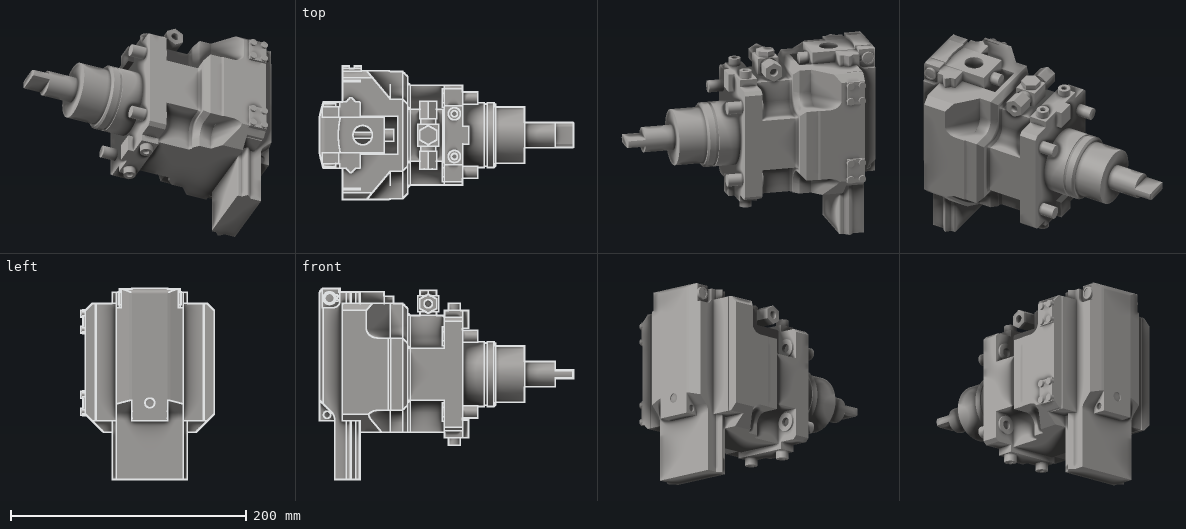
import cadquery as cq
import math


HOUSING_X = (19.5, 70.6)
HOUSING_HALF_Y = 54.9
HOUSING_STEP_X = 58.5
HOUSING_STEP = 0.6
HOUSING_TOP = 60.3
HOUSING_BOTTOM = -49.5
END_TAPER = 4.5
TOP_EDGE_CHAMFER = 6.0
BOTTOM_EDGE_CHAMFER = 15.5
HOUSING_ARM = 30.7
POCKET_START_X = 40.0
POCKET_CORNER_X = 60.3
POCKET_RADIUS = 10.0
POCKET_START_RADIUS = 7.8
FOOT_NOTCH_TOP = -39.8
SLIT_Y = 45.8
SLIT_WIDTH = 0.9
SLIT_COVER = 0.6

BODY_X = (77.1, 106.3)
BODY_HALF_Y = 42.5
BODY_HALF_Z = 50.0
BODY_ARM = 22.0
BODY_TAPER = BODY_X[0] - HOUSING_X[1] - END_TAPER
BODY_END_CHAMFER = 1.3
FLANGE_X = (BODY_X[1], 121.6)
FLANGE_HALF_Z = 48.2
FLANGE_CHAMFER = 3.0
CLAMP_HALF_Y = 25.0
CLAMP_HALF_Z = 54.2
KEY_X = 126.8
KEY_HALF_Y = 7.5
KEY_INNER_Z = 38.9
CLAMP_SCREW_X = 114.7
CLAMP_SCREW_Y = 18.1
CLAMP_SCREW_RADIUS = 5.2
CLAMP_SCREW_Z = 60.5
SOCKET_RADIUS = 2.5
SOCKET_DEPTH = 3.2
BOLT_Y = 31.5
BOLT_Z = 32.2
BOLT_RADIUS = 5.2
BOLT_END_X = 134.5
BOLT_HEAD_RADIUS = 8.0
BOLT_HEAD_HEIGHT = 1.7
BOLT_SOCKET_RADIUS = 3.9

SHANK_RADIUS = 27.7
SHANK_END_X = 149.7
SHANK_CHAMFER = 1.5
RING_GROOVE_X = (140.2, 142.5)
RING_GROOVE_DEPTH = 1.0
PILOT_RADIUS = 24.0
PILOT_END_X = 174.4
SHAFT_RADIUS = 10.8
SHAFT_END_X = 200.5
TANG_HALF_Z = 3.9
TANG_FLAT_HALF_Y = 7.3
TANG_EDGE_HALF_Z = 2.8
TANG_END_X = 216.0
TANG_CHAMFER = 0.6

FITTING_X = 92.5
FITTING_Z = 59.8
FITTING_SIZE = (18.1, 18.5, 13.8)
FITTING_TOP = 71.5
HEX_FLATS = 14.3
NECK_RADIUS = 7.1
SIDE_NECK_RADIUS = 6.5
SIDE_HEX_Y = (13.8, 29.0)
FITTING_BORE_RADIUS = 3.5
FITTING_BORE_DEPTH = 6.5

SLIDE_X = (13.0, 34.5)
SLIDE_HALF_Y = 28.3
SLIDE_RIDGE_Y = 32.0
SLIDE_RIDGE_X = (22.7, 26.1, 27.2, 30.7)
SLIDE_TOP = 69.8
NUT_TOP = 70.2
SLIDE_BACK_CHAMFER = 0.6
SLIDE_BOTTOM = -89.7
NUT_END_X = 55.0
NUT_HALF_Y = 15.1
NUT_HOLE_X = 36.7
NUT_HOLE_RADIUS = 8.2
NUT_HOLE_DEPTH = 17.3
ROD_RADIUS = 2.5
NUT_RECESS_END_X = 66.8
NUT_RECESS_HALF_Y = 16.2
NUT_RECESS_RADIUS = 7.8
NUT_RECESS_BOTTOM = 43.2
NUT_PIN_RADIUS = 5.2
NUT_PIN_END_X = 63.0
NUT_PIN_Z = 61.1
COVER_TOP = 73.2
COVER_BACK_X = 16.5
COVER_RIB_BACK_X = 17.7
COVER_RIB_HOLLOW_X = 16.0
WING_TOP = 72.5
COVER_FLANK_X = 3.2
COVER_CREASE = (0.5, 17.7)
COVER_BOTTOM = FOOT_NOTCH_TOP
COVER_TOP_RADIUS = 5.0
WING_RUNOUT_Z = -22.0
WING_RUNOUT_RADIUS = 9.0
RIB_HOLE_X = 6.5
RIB_HOLE_Z = -34.5
RIB_HOLE_RADIUS = 3.0
RIB_HOLE_DEPTH = 2.2
COVER_HOLE_Z = -24.5
COVER_HOLE_RADIUS = 4.0
COVER_HOLE_DEPTH = 1.0
SEAT_Y = 24.2
SEAT_START_X = 2.5
SEAT_END_X = 17.3
SEAT_BOTTOM = 56.5
SEAT_RADIUS = 5.5
SEAT_SCREW_X = 8.6
SEAT_SCREW_Z = 64.5
SEAT_SCREW_RADIUS = 5.5
SEAT_SCREW_Y = 26.8
SEAT_SOCKET_RADIUS = 4.0
SEAT_SOCKET_DEPTH = 0.9
SEAT_DIMPLE_X = 15.0
SEAT_DIMPLE_RADIUS = 1.0
SEAT_DIMPLE_OFFSET = 1.7

STRAP_X = (19.9, 35.5)
STRAP_SCREW_X = (22.5, 32.6)
STRAP_SCREW_PAIRS = ((51.5, 37.8), (-17.5, -32.0))
STRAP_SCREW_RADIUS = 3.0
STRAP_SCREW_END_Y = 58.8
STRAP_THICKNESS = 2.0
STRAP_END_MARGIN = 3.2

SIDES = (1, -1)
CORNERS = [(y_side, z_side) for y_side in SIDES for z_side in SIDES]
CLEAR = 129.6


def span_box(x_range, y_range, z_range):
    """Box given by its end places along each axis."""
    sizes = [max(r) - min(r) for r in (x_range, y_range, z_range)]
    low_corner = (min(x_range), min(y_range), min(z_range))
    return cq.Workplane("XY").box(*sizes, centered=False).translate(low_corner)


def rod(start, end, radius):
    """Solid cylinder between two points."""
    axis = cq.Vector(*end) - cq.Vector(*start)
    return cq.Workplane(cq.Solid.makeCylinder(radius, axis.Length, cq.Vector(*start), axis))


def flat_bottom(solid):
    """Cut everything off below the flat underside of the housing."""
    return solid.cut(span_box((0, CLEAR), (-CLEAR, CLEAR), (-CLEAR, HOUSING_BOTTOM)))


def cross_section(x, half_y, half_z, arm):
    """Rectangle with a rounded notch taken out of each corner."""
    upright = cq.Sketch().rect(2 * arm, 2 * half_z)
    cross = upright.rect(2 * half_y, 2 * arm).clean()
    reach = (arm + min(half_y, half_z)) / 2
    inner_corners = cq.selectors.BoxSelector((-reach, -reach, -2.2), (reach, reach, 2.2))
    cross = cross.vertices(inner_corners).fillet(POCKET_RADIUS)
    return cq.Workplane("YZ", origin=(x, 0, 0)).placeSketch(cross.reset())


def corner_pocket(y_side, z_side):
    """Cutter for one housing corner: slanted start, then along the axis, round at the bottom."""
    lead = POCKET_CORNER_X - POCKET_START_X
    slope = lead / (HOUSING_HALF_Y - HOUSING_ARM)
    far_y = HOUSING_HALF_Y + 21.5
    far_x = HOUSING_X[1] + 21.5
    base = cq.Workplane("XY", origin=(0, 0, HOUSING_ARM))
    start_x = POCKET_CORNER_X - slope * (far_y - HOUSING_ARM)
    slanted = (
        base.polyline([
            (start_x, far_y),
            (start_x + slope * far_y, 0),
            (far_x, 0),
            (far_x, far_y),
        ])
        .close()
        .extrude(CLEAR)
        .edges(cq.selectors.NearestToPointSelector((POCKET_START_X, HOUSING_HALF_Y, HOUSING_ARM)))
        .fillet(POCKET_START_RADIUS)
        .intersect(span_box((0, POCKET_CORNER_X), (HOUSING_ARM, CLEAR), (0, CLEAR)))
    )
    axial = span_box((start_x, far_x), (HOUSING_ARM, far_y), (HOUSING_ARM, CLEAR))
    axial = axial.edges("|X and <Y and <Z").fillet(POCKET_RADIUS)
    axial = axial.intersect(span_box((POCKET_CORNER_X, HOUSING_X[1]), (0, CLEAR), (0, CLEAR)))
    cutter = slanted.union(axial)
    if y_side < 0:
        cutter = cutter.mirror("XZ")
    if z_side < 0:
        cutter = cutter.mirror("XY")
    return cutter


def make_housing():
    start, end = HOUSING_X
    rear_half_y = HOUSING_HALF_Y - HOUSING_STEP
    block = (
        cq.Workplane("XY", origin=(0, 0, HOUSING_BOTTOM))
        .polyline([
            (start, HOUSING_HALF_Y),
            (HOUSING_STEP_X, HOUSING_HALF_Y),
            (HOUSING_STEP_X + 3 * HOUSING_STEP, rear_half_y),
            (end, rear_half_y),
            (end, -rear_half_y),
            (HOUSING_STEP_X + 3 * HOUSING_STEP, -rear_half_y),
            (HOUSING_STEP_X, -HOUSING_HALF_Y),
            (start, -HOUSING_HALF_Y),
        ])
        .close()
        .extrude(HOUSING_TOP - HOUSING_BOTTOM)
    )
    top_flat = HOUSING_HALF_Y - TOP_EDGE_CHAMFER
    bottom_flat = HOUSING_HALF_Y - BOTTOM_EDGE_CHAMFER
    end_outline = (
        cq.Workplane("YZ")
        .polyline([
            (top_flat, HOUSING_TOP),
            (HOUSING_HALF_Y, HOUSING_TOP - TOP_EDGE_CHAMFER),
            (HOUSING_HALF_Y, HOUSING_BOTTOM + BOTTOM_EDGE_CHAMFER),
            (bottom_flat, HOUSING_BOTTOM),
            (-bottom_flat, HOUSING_BOTTOM),
            (-HOUSING_HALF_Y, HOUSING_BOTTOM + BOTTOM_EDGE_CHAMFER),
            (-HOUSING_HALF_Y, HOUSING_TOP - TOP_EDGE_CHAMFER),
            (-top_flat, HOUSING_TOP),
        ])
        .close()
        .extrude(end)
    )
    housing = block.intersect(end_outline)
    for y_side, z_side in CORNERS:
        housing = housing.cut(corner_pocket(y_side, z_side))

    taper = cross_section(end, rear_half_y, HOUSING_TOP, HOUSING_ARM).extrude(END_TAPER, taper=45)
    housing = housing.union(flat_bottom(taper))

    plate_x = (start, SLIDE_X[1])
    housing = housing.cut(span_box(plate_x, (-CLEAR, CLEAR), (-CLEAR, FOOT_NOTCH_TOP)))
    for side in SIDES:
        slit_y = (side * SLIT_Y - SLIT_WIDTH / 2, side * SLIT_Y + SLIT_WIDTH / 2)
        slit_top = HOUSING_TOP if side > 0 else HOUSING_TOP - SLIT_COVER
        housing = housing.cut(span_box(plate_x, slit_y, (-CLEAR, slit_top)))
    recess = span_box(
        (SLIDE_X[1], NUT_RECESS_END_X),
        (-NUT_RECESS_HALF_Y, NUT_RECESS_HALF_Y),
        (NUT_RECESS_BOTTOM, HOUSING_TOP),
    )
    return housing.cut(recess.edges("|X and <Z").fillet(NUT_RECESS_RADIUS))


def make_body():
    start, end = BODY_X
    body = cross_section(start, BODY_HALF_Y, BODY_HALF_Z, BODY_ARM).extrude(end - start)
    body = body.faces(">X").edges(">Z").chamfer(BODY_END_CHAMFER)
    step = cross_section(start, BODY_HALF_Y, BODY_HALF_Z, BODY_ARM).extrude(-BODY_TAPER, taper=-45)
    return flat_bottom(body.union(step))


def make_flange():
    flange = span_box(FLANGE_X, (-BODY_HALF_Y, BODY_HALF_Y), (-FLANGE_HALF_Z, FLANGE_HALF_Z))
    flange = flange.edges("|X").chamfer(FLANGE_CHAMFER)
    flange = flange.union(span_box(
        FLANGE_X, (-CLAMP_HALF_Y, CLAMP_HALF_Y), (-CLAMP_HALF_Z, CLAMP_HALF_Z)
    ))
    for z_side in SIDES:
        key_z = (z_side * KEY_INNER_Z, z_side * CLAMP_HALF_Z)
        flange = flange.union(span_box((FLANGE_X[0], KEY_X), (-KEY_HALF_Y, KEY_HALF_Y), key_z))

    for y_side, z_side in CORNERS:
        y = y_side * CLAMP_SCREW_Y
        base = (CLAMP_SCREW_X, y, z_side * FLANGE_HALF_Z)
        head_end = (CLAMP_SCREW_X, y, z_side * CLAMP_SCREW_Z)
        socket_floor = (CLAMP_SCREW_X, y, z_side * (CLAMP_SCREW_Z - SOCKET_DEPTH))
        flange = flange.union(rod(base, head_end, CLAMP_SCREW_RADIUS))
        flange = flange.cut(rod(socket_floor, head_end, SOCKET_RADIUS))

        y, z = y_side * BOLT_Y, z_side * BOLT_Z
        head_x = FLANGE_X[0] - BOLT_HEAD_HEIGHT
        flange = flange.union(rod((head_x, y, z), (FLANGE_X[0], y, z), BOLT_HEAD_RADIUS))
        flange = flange.union(rod((FLANGE_X[0], y, z), (BOLT_END_X, y, z), BOLT_RADIUS))
        flange = flange.cut(rod((head_x, y, z), (head_x + SOCKET_DEPTH, y, z), BOLT_SOCKET_RADIUS))
    return flange


def make_spindle():
    start = FLANGE_X[0]
    groove_start, groove_end = RING_GROOVE_X
    groove_radius = SHANK_RADIUS - RING_GROOVE_DEPTH
    spindle = (
        cq.Workplane("XZ")
        .polyline([
            (start, 0),
            (start, SHANK_RADIUS),
            (groove_start, SHANK_RADIUS),
            (groove_start, groove_radius),
            (groove_end, groove_radius),
            (groove_end, SHANK_RADIUS),
            (SHANK_END_X - SHANK_CHAMFER, SHANK_RADIUS),
            (SHANK_END_X, SHANK_RADIUS - SHANK_CHAMFER),
            (SHANK_END_X, PILOT_RADIUS),
            (PILOT_END_X, PILOT_RADIUS),
            (PILOT_END_X, SHAFT_RADIUS),
            (TANG_END_X - TANG_CHAMFER, SHAFT_RADIUS),
            (TANG_END_X, SHAFT_RADIUS - TANG_CHAMFER),
            (TANG_END_X, 0),
        ])
        .close()
        .revolve(360, (0, 0, 0), (1, 0, 0))
    )
    tang_corners = [
        (TANG_FLAT_HALF_Y, TANG_HALF_Z),
        (SHAFT_RADIUS, TANG_EDGE_HALF_Z),
        (SHAFT_RADIUS, -TANG_EDGE_HALF_Z),
        (TANG_FLAT_HALF_Y, -TANG_HALF_Z),
    ]
    tang_corners += [(-y, -z) for y, z in tang_corners]
    tang_length = TANG_END_X - SHAFT_END_X
    around_tang = cq.Workplane("YZ", origin=(SHAFT_END_X, 0, 0)).circle(2 * SHAFT_RADIUS).extrude(tang_length)
    tang = cq.Workplane("YZ", origin=(SHAFT_END_X, 0, 0)).polyline(tang_corners).close().extrude(tang_length)
    return spindle.cut(around_tang.cut(tang))


def make_fitting():
    hex_corners = HEX_FLATS / math.cos(math.pi / 6)
    centre = (FITTING_X, 0, FITTING_Z)
    fitting = cq.Workplane("XY").box(*FITTING_SIZE).translate(centre)
    fitting = fitting.union(rod((FITTING_X, 0, BODY_HALF_Z - 2.2), centre, NECK_RADIUS))
    cap = (
        cq.Workplane("XY", origin=centre)
        .polygon(6, hex_corners)
        .extrude(FITTING_TOP - FITTING_Z)
        .rotate(centre, (FITTING_X, 0, FITTING_TOP), 30)
    )
    fitting = fitting.union(cap)

    hex_start, hex_end = SIDE_HEX_Y
    for side in SIDES:
        outer = (FITTING_X, side * hex_end, FITTING_Z)
        bore_floor = (FITTING_X, side * (hex_end - FITTING_BORE_DEPTH), FITTING_Z)
        nut = (
            cq.Workplane("XZ", origin=(FITTING_X, side * hex_start, FITTING_Z))
            .polygon(6, hex_corners)
            .extrude(-side * (hex_end - hex_start))
            .rotate(centre, outer, 30)
        )
        fitting = fitting.union(rod(centre, outer, SIDE_NECK_RADIUS).intersect(
            span_box((0, CLEAR), (0, side * (hex_start + 2.2)), (0, CLEAR))
        ))
        fitting = fitting.union(nut).cut(rod(bore_floor, outer, FITTING_BORE_RADIUS))
    return fitting


def make_slide():
    start, end = SLIDE_X
    foot_in, tip_in, tip_out, foot_out = SLIDE_RIDGE_X
    upper_half = [
        (start, SLIDE_HALF_Y),
        (foot_in, SLIDE_HALF_Y),
        (tip_in, SLIDE_RIDGE_Y),
        (tip_out, SLIDE_RIDGE_Y),
        (foot_out, SLIDE_HALF_Y),
        (end - SLIDE_BACK_CHAMFER, SLIDE_HALF_Y),
        (end, SLIDE_HALF_Y - SLIDE_BACK_CHAMFER),
    ]
    lower_half = [(x, -y) for x, y in reversed(upper_half)]
    return (
        cq.Workplane("XY", origin=(0, 0, SLIDE_BOTTOM))
        .polyline(upper_half + lower_half)
        .close()
        .extrude(SLIDE_TOP - SLIDE_BOTTOM)
    )


def add_nut_block(part):
    """Block on the slide reaching into the housing, with its hole, rod and pin."""
    block = span_box(
        (SLIDE_X[0], NUT_END_X), (-NUT_HALF_Y, NUT_HALF_Y), (NUT_RECESS_BOTTOM, NUT_TOP)
    )
    hole = rod(
        (NUT_HOLE_X, 0, NUT_TOP - NUT_HOLE_DEPTH), (NUT_HOLE_X, 0, NUT_TOP), NUT_HOLE_RADIUS
    )
    cross_rod = rod((SLIDE_X[1] - 10.8, 0, NUT_PIN_Z), (NUT_END_X, 0, NUT_PIN_Z), ROD_RADIUS)
    pin = rod((NUT_END_X - 2.2, 0, NUT_PIN_Z), (NUT_PIN_END_X, 0, NUT_PIN_Z), NUT_PIN_RADIUS)
    return part.union(block).cut(hole).union(cross_rod).union(pin)


def make_cover():
    crease_x, crease_y = COVER_CREASE
    cover = (
        cq.Workplane("XY", origin=(0, 0, COVER_BOTTOM))
        .moveTo(0, -NUT_HALF_Y)
        .lineTo(0, NUT_HALF_Y)
        .lineTo(crease_x, crease_y)
        .lineTo(COVER_FLANK_X, SLIDE_HALF_Y)
        .lineTo(COVER_BACK_X, SLIDE_HALF_Y)
        .lineTo(COVER_BACK_X, NUT_HALF_Y)
        .lineTo(COVER_RIB_BACK_X, NUT_HALF_Y)
        .threePointArc((COVER_RIB_HOLLOW_X, 0), (COVER_RIB_BACK_X, -NUT_HALF_Y))
        .lineTo(COVER_BACK_X, -NUT_HALF_Y)
        .lineTo(COVER_BACK_X, -SLIDE_HALF_Y)
        .lineTo(COVER_FLANK_X, -SLIDE_HALF_Y)
        .lineTo(crease_x, -crease_y)
        .close()
        .extrude(COVER_TOP - COVER_BOTTOM)
    )
    side_outline = (
        cq.Workplane("XZ", origin=(0, CLEAR, 0))
        .moveTo(0, COVER_BOTTOM)
        .lineTo(0, COVER_TOP - COVER_TOP_RADIUS)
        .radiusArc((COVER_TOP_RADIUS, COVER_TOP), COVER_TOP_RADIUS)
        .lineTo(CLEAR, COVER_TOP)
        .lineTo(CLEAR, COVER_BOTTOM)
        .close()
        .extrude(2 * CLEAR)
    )
    cover = cover.intersect(side_outline)

    for side in SIDES:
        wing_y = side * NUT_HALF_Y
        cover = cover.cut(span_box((0, COVER_BACK_X), (wing_y, side * CLEAR), (WING_TOP, CLEAR)))
        runout = (
            cq.Workplane("XZ", origin=(0, wing_y, 0))
            .polyline([
                (0, WING_RUNOUT_Z),
                (SLIDE_X[0], WING_RUNOUT_Z - SLIDE_X[0]),
                (SLIDE_X[0], COVER_BOTTOM - WING_RUNOUT_RADIUS),
                (0, COVER_BOTTOM - WING_RUNOUT_RADIUS),
            ])
            .close()
            .extrude(-side * CLEAR)
            .edges("|Y").edges(">X").edges(">Z")
            .fillet(WING_RUNOUT_RADIUS)
        )
        cover = cover.cut(runout)
        hole_floor = (RIB_HOLE_X, side * (NUT_HALF_Y - RIB_HOLE_DEPTH), RIB_HOLE_Z)
        cover = cover.cut(rod(hole_floor, (RIB_HOLE_X, wing_y, RIB_HOLE_Z), RIB_HOLE_RADIUS))

    hole_end = (COVER_HOLE_DEPTH, 0, COVER_HOLE_Z)
    return cover.cut(rod((0, 0, COVER_HOLE_Z), hole_end, COVER_HOLE_RADIUS))


def add_screw_seat(part, side):
    """Recess in an upper corner of the cover and slide with a socket screw in it."""
    seat = span_box(
        (SEAT_START_X, SEAT_END_X), (side * SEAT_Y, side * CLEAR), (SEAT_BOTTOM, CLEAR)
    )
    seat = seat.edges("|Y and >X and <Z").fillet(SEAT_RADIUS)
    screw_end = (SEAT_SCREW_X, side * SEAT_SCREW_Y, SEAT_SCREW_Z)
    socket_floor = (SEAT_SCREW_X, side * (SEAT_SCREW_Y - SEAT_SOCKET_DEPTH), SEAT_SCREW_Z)
    screw = rod((SEAT_SCREW_X, 0, SEAT_SCREW_Z), screw_end, SEAT_SCREW_RADIUS)
    screw = screw.cut(rod(socket_floor, screw_end, SEAT_SOCKET_RADIUS))
    part = part.cut(seat).union(screw)
    for z_side in SIDES:
        z = SEAT_SCREW_Z + z_side * SEAT_DIMPLE_OFFSET
        floor = (SEAT_DIMPLE_X, side * (SEAT_Y - SEAT_SOCKET_DEPTH), z)
        part = part.cut(rod(floor, (SEAT_DIMPLE_X, side * SEAT_Y, z), SEAT_DIMPLE_RADIUS))
    return part


def make_straps():
    straps = cq.Workplane("XY")
    inner_y = HOUSING_HALF_Y - 2.2
    for screw_heights in STRAP_SCREW_PAIRS:
        strap_y = (inner_y, HOUSING_HALF_Y + STRAP_THICKNESS)
        strap_z = (screw_heights[0] + STRAP_END_MARGIN, screw_heights[1] - STRAP_END_MARGIN)
        straps = straps.union(span_box(STRAP_X, strap_y, strap_z))
        for z in screw_heights:
            for x in STRAP_SCREW_X:
                straps = straps.union(rod((x, inner_y, z), (x, STRAP_SCREW_END_Y, z), STRAP_SCREW_RADIUS))
    return straps


result = make_housing()
for feature in (make_body(), make_flange(), make_spindle(), make_fitting(), make_slide()):
    result = result.union(feature)
result = add_nut_block(result)
result = result.union(make_cover()).union(make_straps())
for seat_side in SIDES:
    result = add_screw_seat(result, seat_side)